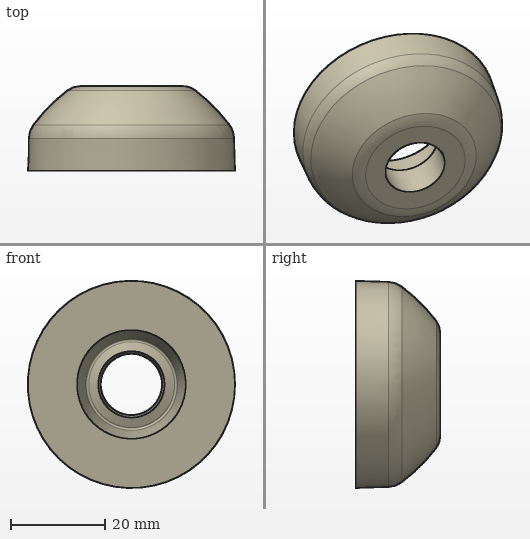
import cadquery as cq

base_radius = 22.0
height = 18.0

shoulder_radius = 21.75
shoulder_height = 8.45
crown_radius = 12.3
dome_arc_radius = 38.3
shoulder_fillet = 5.05
crown_fillet = 4.4

mouth_radius = 11.55
recess_radius = 9.7
recess_depth = 9.9

floor_radius = 9.1
floor_depth = 10.1

bore_start_radius = 7.05
bore_start_depth = 9.45
bore_end_radius = 6.45


def revolve_about_y(outline):
    """Close a radius/depth outline and turn it about the Y axis."""
    return outline.close().revolve(360, (0, 0, 0), (0, 1, 0))


def make_body():
    body = revolve_about_y(
        cq.Workplane("XY")
        .lineTo(base_radius, 0)
        .lineTo(shoulder_radius, shoulder_height)
        .radiusArc((crown_radius, height), -dome_arc_radius)
        .lineTo(0, height)
    )
    shoulder_edge = cq.selectors.RadiusNthSelector(1)
    body = body.edges(shoulder_edge).fillet(shoulder_fillet)
    return body.faces(">Y").edges().fillet(crown_fillet)


def make_opening():
    return revolve_about_y(
        cq.Workplane("XY")
        .lineTo(mouth_radius, 0)
        .lineTo(recess_radius, recess_depth)
        .tangentArcPoint((floor_radius, floor_depth), relative=False)
        .lineTo(bore_start_radius, bore_start_depth)
        .lineTo(bore_end_radius, height)
        .lineTo(0, height)
    )


result = make_body().cut(make_opening())